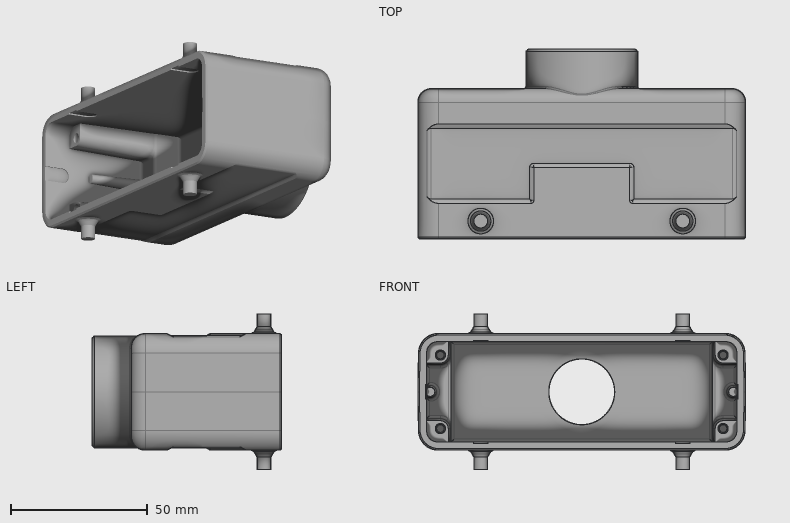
import cadquery as cq
import math

length = 120.0
half_height = 21.4
side_slope = 0.4
body_depth = 55.0
corner_radius = 7.3
back_edge_radius = 5.0
rim_chamfer = 0.6

wall = 3.2
height_wall = 3.0
floor_y = body_depth - wall
floor_fillet = 1.1

total_depth = 69.5
collar_diameter = 41.0
collar_chamfer = 1.0
collar_root_fillet = 0.7
bore_diameter = 24.0

pin_x = 37.0
pin_y = 6.5
pin_diameter = 5.0
pin_span = 57.0
pin_tip_z = pin_span / 2
pin_cone_top_z = 23.9
pin_foot_top_z = 22.8
pin_foot_top_radius = 3.1
pin_flare_z = 21.8
pin_flare_radius = 3.7
pin_foot_radius = 4.7
pin_foot_sink = 0.4

groove_width = 5.4
groove_end_y = 9.8
groove_depth = 0.5

post_x = 51.7
post_z = 13.5
post_front_y = 10.1
post_radius = 2.9
post_draft = 1.1
screw_hole_mouth_diameter = 3.7
screw_hole_end_diameter = 2.8
screw_hole_depth = 14.4

shelf_y = 40.8
shelf_edge_fillet = 1.1
stub_x = 55.5
stub_tip_y = 18.2
stub_tip_radius = 1.7
stub_root_radius = 2.4
shelf_root_fillet = 1.1

panel_front_y = 13.0
panel_back_y = 42.0
tab_half_width = 17.5
tab_end_y = 26.0
panel_depth = 0.8
panel_slope_width = 1.5
tab_root_radius = 1.2
panel_end_round = 2.4

half_length = length / 2
inner_half_length = half_length - wall
inner_half_height = half_height - height_wall
post_inner_x = post_x - post_radius
signs = (1, -1)
tolerance = 0.06


def on_y(y):
    """Workplane across the hood at depth y, facing the mouth."""
    return cq.Workplane("XZ", origin=(0, y, 0))


def on_side(shape, side):
    """The shape as made for the top (side 1), or its mirror image for the bottom (side -1)."""
    return shape if side > 0 else shape.mirror("XY")


def edges_within(low, high):
    """Selector for the edges that lie wholly inside the box between two opposite corners."""
    return cq.selectors.BoxSelector(low, high, boundingbox=True)


def cylinder_y(diameter, start_y, end_y):
    return on_y(end_y).circle(diameter / 2).extrude(end_y - start_y)


def make_body():
    """Solid outer block with slightly peaked ends and rounded corners and back."""
    edge_x = half_length - side_slope
    outline = [
        (half_length, 0),
        (edge_x, half_height),
        (-edge_x, half_height),
        (-half_length, 0),
        (-edge_x, -half_height),
        (edge_x, -half_height),
    ]
    block = on_y(body_depth).polyline(outline).close().extrude(body_depth)
    block = block.edges("|Y and (>Z or <Z)").fillet(corner_radius)
    block = block.faces(">Y").edges().fillet(back_edge_radius)
    block = block.faces("<Y").chamfer(rim_chamfer)
    return block


def add_collar(body):
    """Join the cable collar to the back and fillet its root."""
    collar = cylinder_y(collar_diameter, floor_y, total_depth)
    collar = collar.faces(">Y").chamfer(collar_chamfer)
    joined = body.union(collar)
    reach = collar_diameter / 2 + tolerance
    root = edges_within(
        (-reach, body_depth - back_edge_radius, -half_height),
        (reach, body_depth + tolerance, half_height),
    )
    return joined.edges(root).fillet(collar_root_fillet)


def make_panel():
    """Cutter for the top recess, narrowing from the face down to the panel floor.

    It runs past both ends of the hood, so the floor breaks out through the rounded corners.
    """
    panel_middle_y = (panel_front_y + panel_back_y) / 2
    tab_middle_y = (panel_front_y + tab_end_y) / 2
    tab_roots = cq.selectors.BoxSelector(
        (-tab_half_width - tolerance, panel_front_y - tolerance, -tolerance),
        (tab_half_width + tolerance, panel_front_y + tolerance, tolerance),
    )
    outline = (
        cq.Sketch()
        .push([(0, panel_middle_y)])
        .rect(length, panel_back_y - panel_front_y)
        .push([(0, tab_middle_y)])
        .rect(2 * tab_half_width, tab_end_y - panel_front_y, mode="s")
        .reset()
        .vertices(tab_roots)
        .fillet(tab_root_radius)
    )
    taper = math.degrees(math.atan(panel_slope_width / panel_depth))
    face = cq.Workplane("XY", origin=(0, 0, half_height))
    return face.placeSketch(outline).extrude(-panel_depth, taper=taper)


def cut_panel(body, side):
    """Cut one recess and round the ends where its floor breaks out."""
    body = body.cut(on_side(make_panel(), side))
    floor_z = side * (half_height - panel_depth)
    break_out = edges_within(
        (-half_length, panel_front_y, floor_z - tolerance),
        (half_length, panel_back_y, floor_z + tolerance),
    ) & cq.selectors.ParallelDirSelector(cq.Vector(0, 1, 0))
    tab_foot_x = tab_half_width + panel_slope_width + tolerance
    tab_edges = edges_within((-tab_foot_x, 0, -half_height), (tab_foot_x, body_depth, half_height))
    return body.edges(break_out - tab_edges).fillet(panel_end_round)


def make_pin(x, side):
    """Round locking pin on a stepped conical foot, sunk a little into the wall."""
    radius = pin_diameter / 2
    profile = [
        (0, half_height - pin_foot_sink),
        (pin_foot_radius, half_height - pin_foot_sink),
        (pin_foot_radius, half_height),
        (pin_flare_radius, pin_flare_z),
        (pin_foot_top_radius, pin_foot_top_z),
        (radius, pin_cone_top_z),
        (radius, pin_tip_z),
        (0, pin_tip_z),
    ]
    pin = cq.Workplane("XZ").polyline(profile).close().revolve(360, (0, 0, 0), (0, 1, 0))
    return on_side(pin.translate((x, pin_y, 0)), side)


def make_post(x_side, z_side):
    """Corner post that widens toward the cavity floor, with a tapered screw hole in its end."""
    post_length = floor_y - post_front_y
    width = half_length - post_inner_x + 2 * post_draft
    height = half_height - (post_z - post_radius) + 2 * post_draft
    x = x_side * (post_inner_x - post_draft + width / 2)
    z = z_side * (post_z - post_radius - post_draft + height / 2)
    draft_angle = math.degrees(math.atan(post_draft / post_length))
    post = on_y(floor_y).center(x, z).sketch().rect(width, height)
    post = post.vertices().fillet(post_radius + post_draft).finalize()
    post = post.extrude(post_length, taper=draft_angle)
    hole = cq.Solid.makeCone(
        screw_hole_mouth_diameter / 2,
        screw_hole_end_diameter / 2,
        screw_hole_depth,
        pnt=cq.Vector(x_side * post_x, post_front_y, z_side * post_z),
        dir=cq.Vector(0, 1, 0),
    )
    return post.cut(cq.Workplane(hole))


def make_shelf(x_side):
    """Raised floor at one end of the cavity, with the stub that stands on it."""
    inner_x = post_inner_x - post_draft
    shelf = cq.Workplane("XY").box(
        half_length - inner_x, floor_y - shelf_y, 2 * half_height, centered=(False, False, True)
    )
    shelf = shelf.translate((inner_x, shelf_y, 0)).edges("<X and <Y").fillet(shelf_edge_fillet)
    stub = cq.Solid.makeCone(
        stub_tip_radius,
        stub_root_radius,
        shelf_y - stub_tip_y,
        pnt=cq.Vector(stub_x, stub_tip_y, 0),
        dir=cq.Vector(0, 1, 0),
    )
    shelf = shelf.union(cq.Workplane(stub))
    return shelf if x_side > 0 else shelf.mirror("YZ")


def make_groove():
    """Round-ended groove cutter lying in the XY plane, starting outside the mouth."""
    overall = 2 * groove_end_y
    return cq.Workplane("XY").slot2D(overall, groove_width, 90).extrude(groove_depth)


def make_void():
    """Everything empty inside the hood."""
    void = on_y(floor_y).rect(2 * inner_half_length, 2 * inner_half_height).extrude(floor_y)
    void = void.edges("|Y").fillet(corner_radius - wall)
    for x_side in signs:
        void = void.cut(make_shelf(x_side))
    void = void.faces(">Y").edges().fillet(floor_fillet)
    for x_side in signs:
        for z_side in signs:
            void = void.cut(make_post(x_side, z_side))
    return round_shelf_roots(void)


def round_shelf_roots(void):
    """Fillet where the end walls, posts and stubs rise from the two shelves."""
    for x_side in signs:
        low_x, high_x = sorted((x_side * (post_inner_x + tolerance), x_side * half_length))
        roots = edges_within(
            (low_x, shelf_y - tolerance, -half_height),
            (high_x, shelf_y + tolerance, half_height),
        )
        void = void.edges(roots).fillet(shelf_root_fillet)
    return void


result = add_collar(make_body())
for side in signs:
    result = cut_panel(result, side)
result = result.cut(make_void())
result = result.cut(cylinder_y(bore_diameter, 0, total_depth))

groove = make_groove()
wall_groove = groove.translate((0, 0, inner_half_height))
for side in signs:
    for x in (-pin_x, pin_x):
        result = result.cut(on_side(wall_groove.translate((x, 0, 0)), side))
        result = result.union(make_pin(x, side))
    end_groove = groove.rotate((0, 0, 0), (0, 1, 0), side * 90)
    result = result.cut(end_groove.translate((side * inner_half_length, 0, 0)))